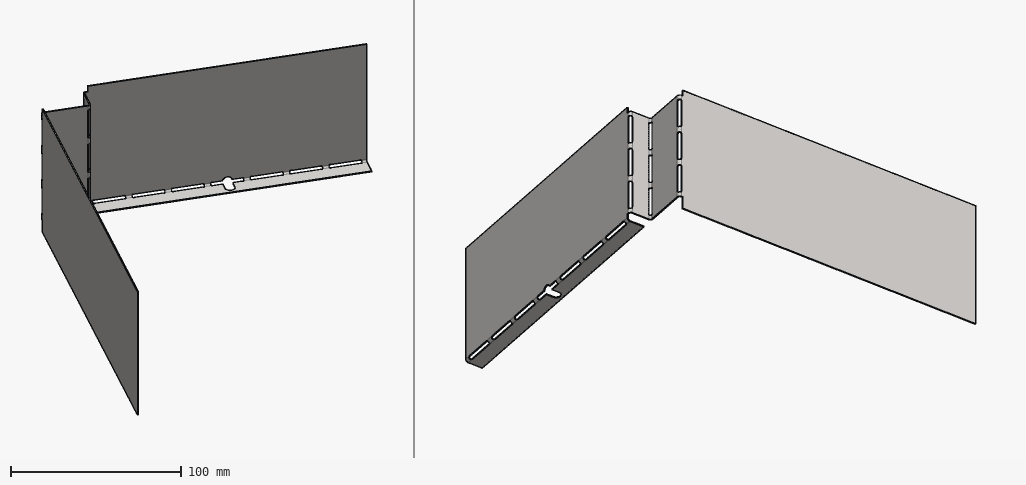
import cadquery as cq
import math

thickness = 0.8
bend_outer_radius = 1.9
bend_inner_radius = bend_outer_radius - thickness
slot_overrun = 0.15
slot_reach = bend_outer_radius + slot_overrun
free_edge_gap = 2.85

total_x = 224.69
total_y = 202.49
total_z = 85.5

side_plate_length = 170.0
side_plate_start_y = total_y - side_plate_length
side_plate_bottom = 3.5
flange_width = 11.8

short_web_y = side_plate_start_y - free_edge_gap
long_web_x = 15.6
web_height = 73.2
web_bottom = 8.35

front_plate_start_x = long_web_x - thickness + free_edge_gap

tab_width = 3.9
slot_end_margin = 1.0
web_slot_count = 3
flange_slot_count = 7

opening_width = 6.0
opening_tip_x = 9.9
opening_height = 4.3
opening_top = side_plate_bottom + opening_height
opening_y = side_plate_start_y + side_plate_length / 2


def box(x_range, y_range, z_range):
    """Box spanning the given (start, end) ranges."""
    ranges = (x_range, y_range, z_range)
    sizes = [end - start for start, end in ranges]
    corner = tuple(start for start, _ in ranges)
    return cq.Workplane("XY").box(*sizes, centered=False).translate(corner)


def slot_ranges(start, length, count):
    """(start, end) of each slot along a bend of the given length."""
    pitch = (length - 2 * slot_end_margin) / count
    first = start + slot_end_margin + tab_width / 2
    return [(first + i * pitch, first + (i + 1) * pitch - tab_width) for i in range(count)]


def round_bend(body, edge_direction, outer_point, inner_point):
    """Round the outer and inner edge of one bend."""
    for point, radius in ((outer_point, bend_outer_radius), (inner_point, bend_inner_radius)):
        edge = body.edges(edge_direction).edges(cq.NearestToPointSelector(point))
        body = edge.fillet(radius)
    return body


def bend_slot(length):
    """Round-ended cutter for a bend along +Z, outer corner at the origin and legs toward +X and +Y."""
    straight = box((0, slot_reach), (0, slot_reach), (0, length))
    toward_inside = cq.Plane(origin=(0, 0, length / 2), xDir=(0, 0, 1), normal=(1, 1, 0))
    width = slot_reach * math.sqrt(2)
    rounded = cq.Workplane(toward_inside).slot2D(length, width).extrude(width)
    return straight.intersect(rounded)


def stepped_strip():
    """Strip of web height that joins both plates through three vertical bends."""
    short_web_back = short_web_y + thickness
    long_web_left = long_web_x - thickness
    outline = [
        (0, total_y),
        (0, short_web_y),
        (long_web_left, short_web_y),
        (long_web_left, 0),
        (total_x, 0),
        (total_x, thickness),
        (long_web_x, thickness),
        (long_web_x, short_web_back),
        (thickness, short_web_back),
        (thickness, total_y),
    ]
    strip = cq.Workplane("XY").workplane(offset=web_bottom).polyline(outline).close().extrude(web_height)
    middle_z = web_bottom + web_height / 2
    bends = [
        ((0, short_web_y), (thickness, short_web_back), 0),
        ((long_web_x, short_web_back), (long_web_left, short_web_y), 180),
        ((long_web_left, 0), (long_web_x, thickness), 0),
    ]
    for outer, inner, _ in bends:
        strip = round_bend(strip, "|Z", (*outer, middle_z), (*inner, middle_z))

    for outer, _, turn in bends:
        for start, end in slot_ranges(web_bottom, web_height, web_slot_count):
            slot = bend_slot(end - start).rotate((0, 0, 0), (0, 0, 1), turn)
            strip = strip.cut(slot.translate((*outer, start)))
    return strip


def side_plate():
    """Side plate with its slotted bottom flange and round-ended opening."""
    y_range = (side_plate_start_y, total_y)
    flange_top = side_plate_bottom + thickness
    plate = box((0, thickness), y_range, (side_plate_bottom, total_z))
    plate = plate.union(box((0, flange_width), y_range, (side_plate_bottom, flange_top)))
    outer_edge = (0, opening_y, side_plate_bottom)
    inner_edge = (thickness, opening_y, flange_top)
    plate = round_bend(plate, "|Y", outer_edge, inner_edge)
    for start, end in slot_ranges(side_plate_start_y, side_plate_length, flange_slot_count):
        slot = bend_slot(end - start).rotate((0, 0, 0), (1, 0, 0), 90)
        plate = plate.cut(slot.translate((0, end, side_plate_bottom)))
    return plate.cut(flange_opening()).cut(plate_opening())


def flange_opening():
    """Round-ended opening through the flange, reaching in from the bend."""
    radius = opening_width / 2
    center_x = opening_tip_x - radius
    z_range = (side_plate_bottom, side_plate_bottom + thickness)
    channel = box((0, center_x), (opening_y - radius, opening_y + radius), z_range)
    tip = cq.Workplane("XY").workplane(offset=side_plate_bottom).center(center_x, opening_y)
    return channel.union(tip.circle(radius).extrude(thickness))


def plate_opening():
    """Rounded end of the opening in the side plate."""
    radius = opening_width / 2
    return cq.Workplane("YZ").center(opening_y, opening_top - radius).circle(radius).extrude(thickness)


def front_plate():
    """Flat front plate, taller than the webs."""
    return box((front_plate_start_x, total_x), (0, thickness), (0, total_z))


result = stepped_strip().union(side_plate()).union(front_plate())